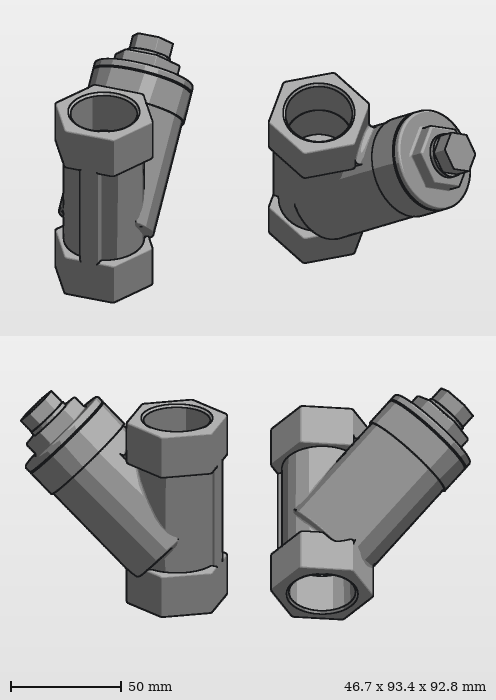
import cadquery as cq
import math

run_length = 89.0
end_flats = 41.0
end_height = 20.45
end_corner_radius = 2.0
edge_radius = 1.0
seam_radius = 1.5
tube_diameter = 36.7
rib_width = 9.3

thread_diameter = 30.3
thread_depth = 20.0
port_chamfer = 1.1
passage_diameter = 30.0
passage_depth = 39.4

branch_angle = 43.0
branch_origin_z = -20.5
branch_diameter = 44.5
branch_start = 3.6
branch_start_radius = 1.0
collar_diameter = 46.0
collar_start = 57.9
core_diameter = 38.4
core_start = 19.7
web_radius = 2.0

joint_start = 71.4
joint_width = 0.6
joint_depth = 0.5
cap_face = 75.5
nut_flats = 27.0
nut_end = 82.5
neck_diameter = 20.0
neck_end = 84.6
plug_flats = 17.0
plug_corner_radius = 0.7
plug_end = 91.7

half_run = run_length / 2
flat_position = end_flats / 2


def corner_diameter(flats):
    """Diameter across the corners of a hexagon from its size across flats."""
    return flats / math.cos(math.radians(30))


def branch_plane(station):
    """Plane square to the branch axis at the given station."""
    angle = math.radians(branch_angle)
    direction = (0, math.cos(angle), math.sin(angle))
    origin = (0, station * direction[1], branch_origin_z + station * direction[2])
    return cq.Plane(origin=origin, xDir=(1, 0, 0), normal=direction)


branch_axis = branch_plane(0).zDir
toward_start = cq.selectors.DirectionMinMaxSelector(branch_axis, False)
toward_end = cq.selectors.DirectionMinMaxSelector(branch_axis, True)
along_branch = cq.selectors.ParallelDirSelector(branch_axis)


def branch_cylinder(diameter, start, end):
    return cq.Workplane(branch_plane(start)).circle(diameter / 2).extrude(end - start)


def branch_hexagon(flats, start, end, corner_radius):
    prism = cq.Workplane(branch_plane(start)).polygon(6, corner_diameter(flats)).extrude(end - start)
    return prism.edges(along_branch).fillet(corner_radius)


def hexagon_end(bottom):
    profile = cq.Workplane("XY", origin=(0, 0, bottom)).polygon(6, corner_diameter(end_flats))
    return profile.extrude(end_height).edges("|Z").fillet(end_corner_radius)


def axis_distance(point):
    """Distance of a point from the run axis."""
    return math.hypot(point.x, point.y)


def run_body():
    """Two hexagon ends, the tube between them and the rib, with rounded edges."""
    body = hexagon_end(-half_run).union(hexagon_end(half_run - end_height))
    body = body.union(cq.Workplane("XY").circle(tube_diameter / 2).extrude(half_run, both=True))
    rib_length = run_length - end_height
    rib = cq.Workplane("XY").box(rib_width, flat_position, rib_length).translate((0, -flat_position / 2, 0))
    body = body.union(rib)

    rim_limit = (flat_position + tube_diameter / 2 + edge_radius) / 2
    rims = body.edges("#Z").filter(lambda edge: axis_distance(edge.Center()) > rim_limit)
    rib_edges = body.edges("|Z").filter(lambda edge: abs(edge.Center().x) < rib_width)
    return body.newObject(rims.vals() + rib_edges.vals()).fillet(edge_radius)


def branch_body():
    """Barrel with a rounded lower end, and the wider collar above it."""
    barrel = branch_cylinder(branch_diameter, branch_start, collar_start)
    barrel = barrel.faces(toward_start).edges().fillet(branch_start_radius)
    return barrel.union(branch_cylinder(collar_diameter, collar_start, joint_start))


def is_tube_seam(edge):
    """True for the slanted edges where the branch meets the tube."""
    points = [edge.positionAt(part) for part in (0.1, 0.5, 0.9)]
    on_tube = all(abs(axis_distance(point) - tube_diameter / 2) < 0.01 for point in points)
    slanted = abs(points[0].z - points[2].z) > edge_radius
    return on_tube and slanted and edge.geomType() != "LINE"


def end_webs():
    """Fillets between the branch and the +Y flat of each hexagon end, as wide as the flat."""
    wall = cq.Workplane("XY").box(2 * branch_diameter, flat_position, 2 * run_length)
    joined = wall.translate((0, flat_position / 2, 0))
    joined = joined.union(branch_cylinder(branch_diameter, branch_start, collar_start))
    seam = joined.edges("%ELLIPSE").filter(lambda edge: abs(edge.Center().y - flat_position) < 0.01)
    joined = joined.newObject(seam.vals()).fillet(web_radius)

    corner_cutback = end_corner_radius * math.tan(math.radians(30))
    flat_width = corner_diameter(end_flats) / 2 - 2 * corner_cutback
    reach = 4 * web_radius
    limit = cq.Workplane("XY").box(flat_width, reach, end_height - 2 * edge_radius)
    limit = limit.translate((0, flat_position, 0))
    shift = half_run - end_height / 2
    limits = limit.translate((0, 0, shift)).union(limit.translate((0, 0, -shift)))
    return joined.intersect(limits)


def lies_on_nut_foot(edge, face_plane):
    """True for the edges where the nut stands on the face of the cap."""
    points = [face_plane.toLocalCoords(edge.positionAt(part)) for part in (0.1, 0.5, 0.9)]
    level = all(abs(point.z) < 0.01 for point in points)
    return level and all(math.hypot(point.x, point.y) < corner_diameter(nut_flats) / 2 for point in points)


def cap():
    """Round cap with a hexagon nut, a neck and a hexagon plug head."""
    disc_start = joint_start + joint_width
    disc = branch_cylinder(collar_diameter, disc_start, cap_face)
    disc = disc.faces(toward_end).edges().fillet(edge_radius)
    joint = branch_cylinder(collar_diameter - 2 * joint_depth, joint_start - joint_width, disc_start + joint_width)
    nut = branch_hexagon(nut_flats, cap_face, nut_end, edge_radius)
    nut = nut.faces(toward_end).edges().fillet(edge_radius)
    neck = branch_cylinder(neck_diameter, nut_end, neck_end)
    plug = branch_hexagon(plug_flats, neck_end, plug_end, plug_corner_radius)

    head = disc.union(nut)
    face_plane = branch_plane(cap_face)
    nut_foot = head.edges().filter(lambda edge: lies_on_nut_foot(edge, face_plane))
    head = nut_foot.fillet(edge_radius)
    return head.union(joint).union(neck).union(plug)


def port_cavity():
    """Chamfered thread bore and passage opening at the top end."""
    mouth = cq.Workplane("XY", origin=(0, 0, half_run))
    thread = mouth.circle(thread_diameter / 2).extrude(-thread_depth)
    passage = mouth.circle(passage_diameter / 2).extrude(-passage_depth)
    flare = mouth.circle(thread_diameter / 2 + port_chamfer).extrude(-port_chamfer, taper=45)
    return thread.union(passage).union(flare)


upper_cavity = port_cavity()
lower_cavity = upper_cavity.mirror("XY")
core = branch_cylinder(core_diameter, core_start, joint_start)

result = run_body().union(branch_body())
result = result.edges().filter(is_tube_seam).fillet(seam_radius)
result = result.union(end_webs()).union(cap())
result = result.cut(upper_cavity.cut(core)).cut(lower_cavity)